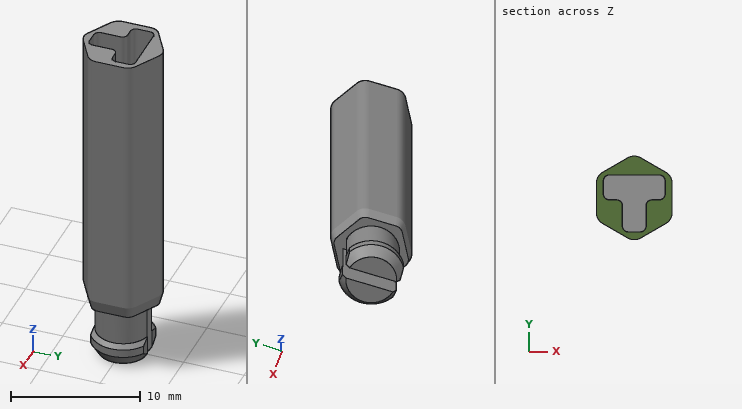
import cadquery as cq
import math

total_height = 28.5
across_flats = 5.9
corner_radius = 1.0
body_bottom = 5.0
taper_height = 1.0
taper_angle = 15.0
taper_top = body_bottom + taper_height

bar_half_width = 2.38
bar_top = 1.77
bar_bottom = -0.15
leg_half_width = 0.9
leg_bottom = -2.62
pocket_corner_radius = 0.45
pocket_floor = taper_top

stem_radius = 2.2
collar_radius = 2.56
tip_radius = 1.97
lead_in_height = 0.97
collar_top = 1.65
shoulder_top = 2.0
slot_width = 0.9


def hexagon(height):
    """Hexagon wire at the given height, with one flat facing each way along X."""
    across_corners = across_flats / math.cos(math.radians(30))
    return cq.Workplane("XY", origin=(0, 0, height)).transformed(rotate=(0, 0, 30)).polygon(6, across_corners)


def make_body():
    prism = hexagon(taper_top).extrude(total_height - taper_top)
    prism = prism.edges("|Z").fillet(corner_radius)
    tapered_end = prism.faces("<Z").wires().toPending().workplane().extrude(
        taper_height, taper=taper_angle, combine=False
    )
    return prism.union(tapered_end)


def make_pocket():
    outline = [
        (-bar_half_width, bar_top),
        (bar_half_width, bar_top),
        (bar_half_width, bar_bottom),
        (leg_half_width, bar_bottom),
        (leg_half_width, leg_bottom),
        (-leg_half_width, leg_bottom),
        (-leg_half_width, bar_bottom),
        (-bar_half_width, bar_bottom),
    ]
    pocket = cq.Workplane("XY", origin=(0, 0, pocket_floor)).polyline(outline).close()
    pocket = pocket.extrude(total_height - pocket_floor)
    return pocket.edges("|Z").fillet(pocket_corner_radius)


def make_stem():
    half_profile = [
        (0, 0),
        (tip_radius, 0),
        (collar_radius, lead_in_height),
        (collar_radius, collar_top),
        (stem_radius, shoulder_top),
        (stem_radius, body_bottom),
        (0, body_bottom),
    ]
    stem = cq.Workplane("XZ").polyline(half_profile).close().revolve(360, (0, 0, 0), (0, 1, 0))
    between_flats = cq.Workplane("XY").box(
        2 * collar_radius, 2 * stem_radius, body_bottom, centered=(True, True, False)
    )
    slot = cq.Workplane("XY").box(
        slot_width, 2 * collar_radius, body_bottom, centered=(True, True, False)
    )
    return stem.intersect(between_flats).cut(slot)


result = make_body().cut(make_pocket()).union(make_stem())